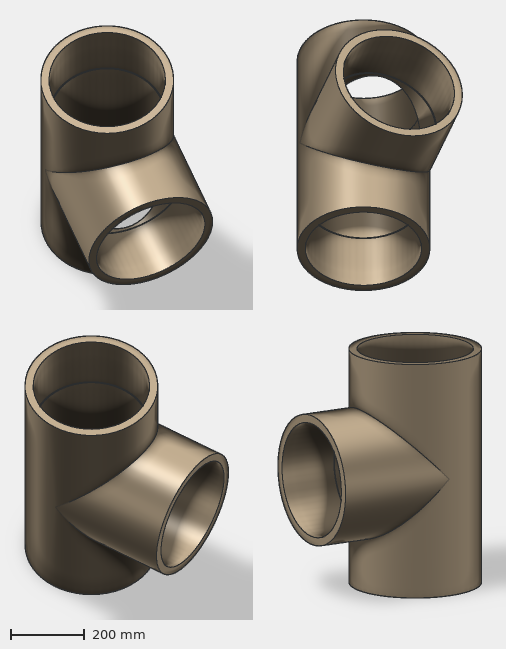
import cadquery as cq

run_length = 652.0
outer_diameter = 360.0
socket_diameter = 315.0
bore_diameter = 309.0
socket_depth = 163.0

arm_length = run_length / 2
stop_distance = arm_length - socket_depth


def run_cylinder(diameter, start, end):
    """Cylinder on the run axis between two heights."""
    return cq.Workplane("XY").workplane(offset=start).circle(diameter / 2).extrude(end - start)


def branch_cylinder(diameter, start, end):
    """Cylinder on the branch axis between two distances from the centre."""
    return cq.Workplane("YZ").workplane(offset=start).circle(diameter / 2).extrude(end - start)


body = run_cylinder(outer_diameter, -arm_length, arm_length)
body = body.union(branch_cylinder(outer_diameter, 0, arm_length))

bores = run_cylinder(bore_diameter, -arm_length, arm_length)
bores = bores.union(branch_cylinder(bore_diameter, 0, arm_length))

sockets = [
    run_cylinder(socket_diameter, stop_distance, arm_length),
    run_cylinder(socket_diameter, -arm_length, -stop_distance),
    branch_cylinder(socket_diameter, stop_distance, arm_length),
]

result = body.cut(bores)
for socket in sockets:
    result = result.cut(socket)